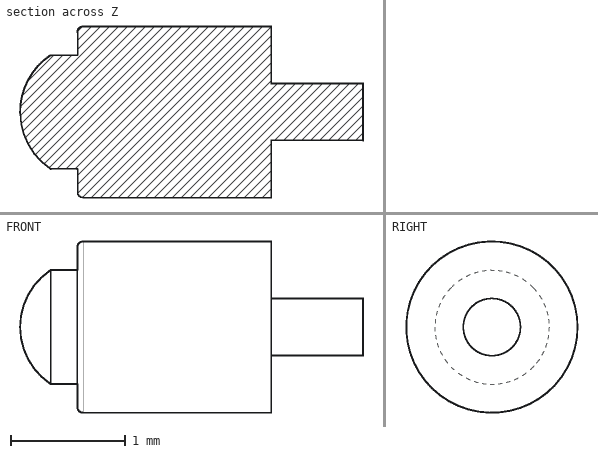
import cadquery as cq
import math

total_length = 3.0
body_diameter = 1.5
plunger_diameter = 1.0
stem_diameter = 0.5
plunger_length = 0.5
stem_length = 0.8
dome_radius = 0.6
body_edge_radius = 0.05

tip_x = -total_length / 2
body_front_x = tip_x + plunger_length
stem_end_x = total_length / 2
body_back_x = stem_end_x - stem_length

plunger_radius = plunger_diameter / 2
dome_center_x = tip_x + dome_radius
dome_base_x = dome_center_x - math.sqrt(dome_radius**2 - plunger_radius**2)
half_angle = math.asin(plunger_radius / dome_radius) / 2
dome_middle = (
    dome_center_x - dome_radius * math.cos(half_angle),
    dome_radius * math.sin(half_angle),
)


def cylinder_along_x(start_x, end_x, diameter):
    """Solid cylinder on the X axis between two stations."""
    return cq.Workplane("YZ", origin=(start_x, 0, 0)).circle(diameter / 2).extrude(end_x - start_x)


body = cylinder_along_x(body_front_x, body_back_x, body_diameter)
body = body.faces("<X").edges().fillet(body_edge_radius)

plunger = (
    cq.Workplane("XY")
    .moveTo(tip_x, 0)
    .threePointArc(dome_middle, (dome_base_x, plunger_radius))
    .lineTo(body_front_x, plunger_radius)
    .lineTo(body_front_x, 0)
    .close()
    .revolve(360, (0, 0, 0), (1, 0, 0))
)

stem = cylinder_along_x(body_back_x, stem_end_x, stem_diameter)

result = body.union(plunger).union(stem)